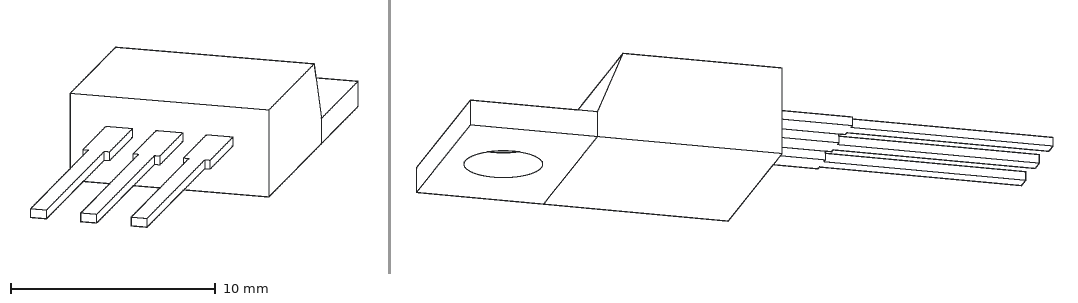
import cadquery as cq

width = 10.1
total_length = 30.02
housing_height = 4.45

tab_length = 6.42
tab_thickness = 1.3
hole_diameter = 3.85
hole_from_tab_end = 3.03

housing_length = 9.35
slope_length = 1.3

lead_count = 3
lead_pitch = 2.55
lead_thickness = 0.45
lead_bottom = 2.45
shoulder_width = 1.35
shoulder_length = 4.05
tip_width = 0.8

lead_length = total_length - tab_length - housing_length
tab_end = housing_length + tab_length


def make_tab():
    """Flat mounting tab with a round screw hole, butting against the housing."""
    plate = (
        cq.Workplane("XY")
        .center(0, housing_length + tab_length / 2)
        .rect(width, tab_length)
        .extrude(tab_thickness)
    )
    hole = (
        cq.Workplane("XY")
        .center(0, tab_end - hole_from_tab_end)
        .circle(hole_diameter / 2)
        .extrude(tab_thickness)
    )
    return plate.cut(hole)


def make_housing():
    """Block whose tab side slopes back above the tab."""
    profile = [
        (0, 0),
        (housing_length, 0),
        (housing_length, tab_thickness),
        (housing_length - slope_length, housing_height),
        (0, housing_height),
    ]
    return cq.Workplane("YZ").polyline(profile).close().extrude(width / 2, both=True)


def make_lead(x):
    """Flat lead with a wide shoulder at the housing and a narrow tip, centred on x."""
    shoulder_half = shoulder_width / 2
    tip_half = tip_width / 2
    outline = [
        (x - shoulder_half, 0),
        (x - shoulder_half, -shoulder_length),
        (x - tip_half, -shoulder_length),
        (x - tip_half, -lead_length),
        (x + tip_half, -lead_length),
        (x + tip_half, -shoulder_length),
        (x + shoulder_half, -shoulder_length),
        (x + shoulder_half, 0),
    ]
    return (
        cq.Workplane("XY")
        .workplane(offset=lead_bottom)
        .polyline(outline)
        .close()
        .extrude(lead_thickness)
    )


tab = make_tab()
housing = make_housing()
leads = []
for index in range(lead_count):
    lead_x = (index - (lead_count - 1) / 2) * lead_pitch
    leads.append(make_lead(lead_x).val())

result = cq.Compound.makeCompound([tab.val(), housing.val(), *leads])